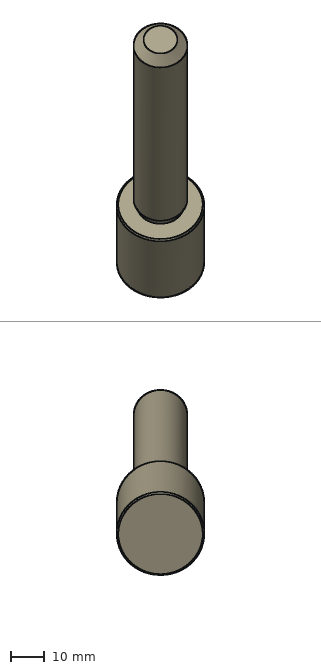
import cadquery as cq

total_length = 115.0
head_length = 30.0
neck_length = 3.0

head_diameter = 26.0
neck_diameter = 14.0
shaft_diameter = 16.0
tip_diameter = 10.0

head_chamfer = 0.5
tip_chamfer = (shaft_diameter - tip_diameter) / 2

head = (
    cq.Workplane("XY")
    .circle(head_diameter / 2)
    .extrude(head_length)
    .edges()
    .chamfer(head_chamfer)
)

neck = (
    cq.Workplane("XY")
    .workplane(offset=head_length)
    .circle(neck_diameter / 2)
    .extrude(neck_length)
)

shaft_start = head_length + neck_length
shaft = (
    cq.Workplane("XY")
    .workplane(offset=shaft_start)
    .circle(shaft_diameter / 2)
    .extrude(total_length - shaft_start)
    .faces(">Z")
    .chamfer(tip_chamfer)
)

result = head.union(neck).union(shaft)